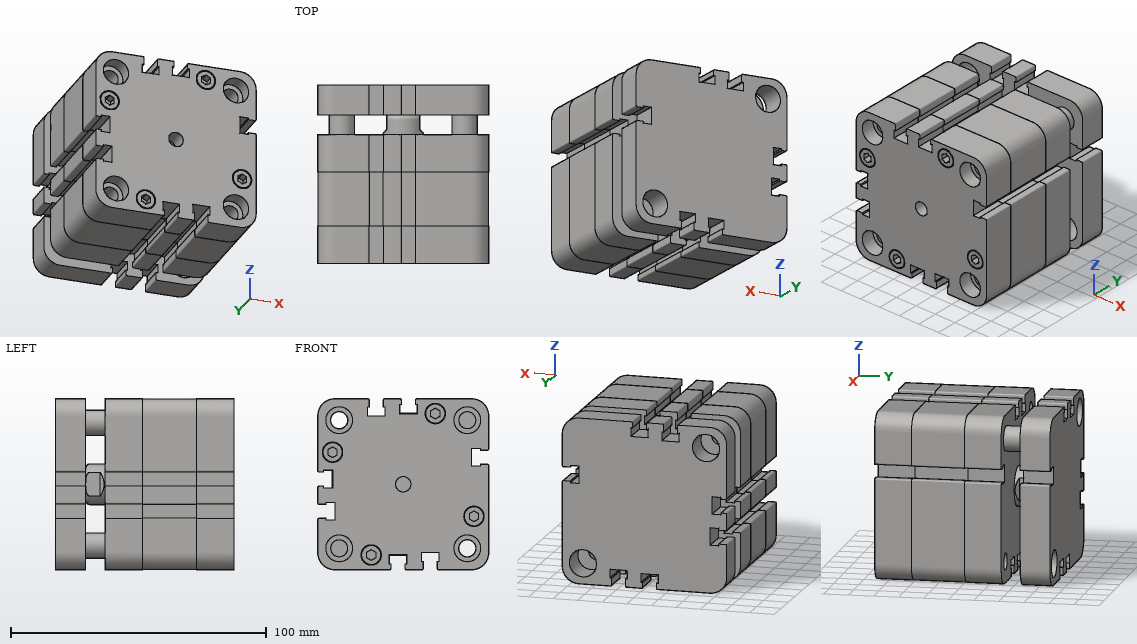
import cadquery as cq
import math

WIDTH = 67.0
HALF = WIDTH / 2
LENGTH = 70.0
FRONT_Y = -LENGTH / 2
BACK_Y = LENGTH / 2

PLATE_LENGTH = 11.9
GAP_LENGTH = 7.55
CAP_LENGTH = 14.7
PLATE_Y = BACK_Y - PLATE_LENGTH
BODY_BACK_Y = PLATE_Y - GAP_LENGTH
BARREL_FRONT_Y = FRONT_Y + CAP_LENGTH
BARREL_BACK_Y = BODY_BACK_Y - CAP_LENGTH

BARREL_INSET = 0.105
CAP_CORNER_RADIUS = 6.8
BARREL_CORNER_RADIUS = 6.45

CAP_SLOT_WIDTH = 7.0
CAP_NECK_WIDTH = 5.6
BARREL_SLOT_TIGHTENING = 0.105
SLOT_ROUNDING = 0.55
OUTER_SLOT_OFFSET = -10.6
OUTER_SLOT_NECK_DEPTH = 3.3
CAP_OUTER_SLOT_DEPTH = 6.8
BARREL_OUTER_SLOT_DEPTH = 6.7
INNER_SLOT_OFFSET = 2.0
INNER_SLOT_NECK_DEPTH = 2.4
CAP_INNER_SLOT_DEPTH = 5.95
BARREL_INNER_SLOT_DEPTH = 5.7
SIDE_ANGLES = (0, 90, 180, 270)
PLAIN_SIDE_ANGLE = 270

MOUNT_OFFSET = 25.05
MOUNT_HOLE_DIAMETER = 6.65
MOUNT_BORE_DIAMETER = 10.5
MOUNT_BORE_DEPTH = 6.5
BLIND_HOLE_DEPTH = 14.0
PLATE_HOLE_DIAMETER = 11.0

PIN_OFFSET = 24.0
PIN_DIAMETER = 10.0

ROD_DIAMETER = 16.0
ROD_FLAT_WIDTH = 13.0
ROD_FLAT_LENGTH = 5.7
ROD_ROUNDING = 1.7

CENTER_HOLE_DIAMETER = 6.0
CENTER_HOLE_DEPTH = 8.4
SCREW_NEAR_OFFSET = 12.5
SCREW_FAR_OFFSET = 27.65
SCREW_RECESS_DIAMETER = 8.0
SCREW_HEAD_DIAMETER = 7.5
SCREW_RECESS_DEPTH = 0.7
HEX_WIDTH = 3.65
HEX_DEPTH = 4.0


def plane_at(y):
    """XZ plane at the given Y, with its normal along +Y and Z kept upward."""
    return cq.Workplane(cq.Plane(origin=(0, y, 0), xDir=(-1, 0, 0), normal=(0, 1, 0)))


def turned(shape, angle):
    """Shape turned about the Y axis, from the top side toward -X for positive angles."""
    return shape.rotate((0, 0, 0), (0, 1, 0), -angle)


def cylinder(x, z, diameter, start_y, end_y):
    return plane_at(start_y).center(-x, z).circle(diameter / 2).extrude(end_y - start_y)


def slot(offset, neck_depth, depth, tightening, mouth_z, start_y, end_y):
    """Stepped slot in the top side, with a rounded mouth at height mouth_z."""
    neck = CAP_NECK_WIDTH / 2 - tightening
    wide = CAP_SLOT_WIDTH / 2 - tightening
    mouth = neck + SLOT_ROUNDING
    arc_inset = SLOT_ROUNDING * (1 - math.sqrt(0.5))
    shoulder_z = HALF - neck_depth
    floor_z = HALF - depth
    cutter = (
        plane_at(start_y)
        .center(-offset, 0)
        .moveTo(-wide, floor_z)
        .lineTo(wide, floor_z)
        .lineTo(wide, shoulder_z)
        .lineTo(neck, shoulder_z)
        .lineTo(neck, mouth_z - SLOT_ROUNDING)
        .threePointArc((neck + arc_inset, mouth_z - arc_inset), (mouth, mouth_z))
        .lineTo(-mouth, mouth_z)
        .threePointArc((-neck - arc_inset, mouth_z - arc_inset), (-neck, mouth_z - SLOT_ROUNDING))
        .lineTo(-neck, shoulder_z)
        .lineTo(-wide, shoulder_z)
        .close()
    )
    return cutter.extrude(end_y - start_y)


def block(start_y, end_y, inset, corner_radius, tightening, outer_depth, inner_depth):
    """Square block with rounded long edges and slots on its sides."""
    mouth_z = HALF - inset
    width = 2 * mouth_z
    body = plane_at(start_y).rect(width, width).extrude(end_y - start_y)
    body = body.edges("|Y").fillet(corner_radius)
    outer_slot = slot(
        OUTER_SLOT_OFFSET, OUTER_SLOT_NECK_DEPTH, outer_depth, tightening, mouth_z, start_y, end_y
    )
    inner_slot = slot(
        INNER_SLOT_OFFSET, INNER_SLOT_NECK_DEPTH, inner_depth, tightening, mouth_z, start_y, end_y
    )
    for angle in SIDE_ANGLES:
        body = body.cut(turned(outer_slot, angle))
        if angle != PLAIN_SIDE_ANGLE:
            body = body.cut(turned(inner_slot, angle))
    return body


def cap_block(start_y, end_y):
    return block(start_y, end_y, 0, CAP_CORNER_RADIUS, 0, CAP_OUTER_SLOT_DEPTH, CAP_INNER_SLOT_DEPTH)


def rod_end():
    """Round rod between body and plate, rounded at the plate and flattened on two sides."""
    radius = ROD_DIAMETER / 2
    rod = cylinder(0, 0, ROD_DIAMETER, BODY_BACK_Y, PLATE_Y).faces(">Y").edges().fillet(ROD_ROUNDING)
    half_flat = ROD_FLAT_WIDTH / 2
    flat_end_y = PLATE_Y - ROD_FLAT_LENGTH
    for side in (-1, 1):
        outline = [
            (side * half_flat, PLATE_Y),
            (side * half_flat, flat_end_y),
            (side * ROD_DIAMETER, flat_end_y - (ROD_DIAMETER - half_flat)),
            (side * ROD_DIAMETER, PLATE_Y),
        ]
        rod = rod.cut(cq.Workplane("XY").polyline(outline).close().extrude(radius, both=True))
    return rod


def screw_cut(x, z):
    """Ring around one screw head, plus its hexagon socket with a corner pointing up."""
    recess_y = FRONT_Y + SCREW_RECESS_DEPTH
    ring = cylinder(x, z, SCREW_RECESS_DIAMETER, FRONT_Y, recess_y)
    ring = ring.cut(cylinder(x, z, SCREW_HEAD_DIAMETER, FRONT_Y, recess_y))
    corner_diameter = HEX_WIDTH / math.cos(math.radians(30))
    socket = plane_at(FRONT_Y).polygon(6, corner_diameter).extrude(HEX_DEPTH)
    return ring.union(turned(socket, 90).translate((x, 0, z)))


result = cap_block(FRONT_Y, BARREL_FRONT_Y)
result = result.union(
    block(
        BARREL_FRONT_Y,
        BARREL_BACK_Y,
        BARREL_INSET,
        BARREL_CORNER_RADIUS,
        BARREL_SLOT_TIGHTENING,
        BARREL_OUTER_SLOT_DEPTH,
        BARREL_INNER_SLOT_DEPTH,
    )
)
result = result.union(cap_block(BARREL_BACK_Y, BODY_BACK_Y))
result = result.union(cap_block(PLATE_Y, BACK_Y))

result = result.union(rod_end())
for side in (-1, 1):
    result = result.union(cylinder(side * PIN_OFFSET, side * PIN_OFFSET, PIN_DIAMETER, BODY_BACK_Y, PLATE_Y))

for side in (-1, 1):
    x = side * MOUNT_OFFSET
    for z in (-x, x):
        result = result.cut(cylinder(x, z, MOUNT_BORE_DIAMETER, FRONT_Y, FRONT_Y + MOUNT_BORE_DEPTH))
    result = result.cut(cylinder(x, -x, MOUNT_HOLE_DIAMETER, FRONT_Y, BODY_BACK_Y))
    result = result.cut(cylinder(x, -x, PLATE_HOLE_DIAMETER, PLATE_Y, BACK_Y))
    result = result.cut(cylinder(x, x, MOUNT_HOLE_DIAMETER, FRONT_Y, FRONT_Y + BLIND_HOLE_DEPTH))

result = result.cut(cylinder(0, 0, CENTER_HOLE_DIAMETER, FRONT_Y, FRONT_Y + CENTER_HOLE_DEPTH))
for side in (-1, 1):
    near = side * SCREW_NEAR_OFFSET
    far = side * SCREW_FAR_OFFSET
    result = result.cut(screw_cut(near, far))
    result = result.cut(screw_cut(-far, near))